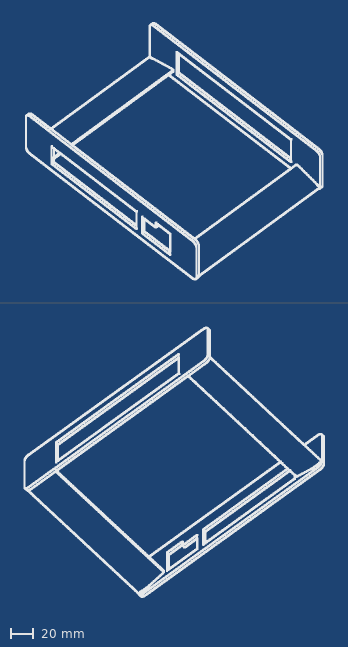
import cadquery as cq

length = 216.0
depth = 156.0
height = 50.0
panel_thickness = 3.0
corner_radius = 5.2

window_bottom = 8.6
window_left = 32.5
window_right = 140.0
window_top = 31.5
port_left = 147.0
port_step = 164.5
port_right = 182.8
port_low_top = 30.0
port_high_top = 36.3

rear_left = 34.1
rear_right = 178.9
rear_bottom = 8.6
rear_top = 38.5

rail_bottom = 4.8
rail_top = 11.2
rail_width = 30.0
lip_width = 3.0
lip_height = 2.0
rail_length = depth - 2 * panel_thickness


def make_panel(y_front):
    """Plain panel with rounded corners, whose outer face towards -Y lies at y_front."""
    return (
        cq.Workplane("XY")
        .box(length, panel_thickness, height, centered=False)
        .edges("|Y")
        .fillet(corner_radius)
        .translate((0, y_front, 0))
    )


def make_cutter(points):
    """Prism along Y, through both panels, with the given XZ outline."""
    return cq.Workplane("XZ").polyline(points).close().extrude(-depth)


def rectangle(left, right, bottom, top):
    """Corner points of an upright rectangle."""
    return [(left, bottom), (right, bottom), (right, top), (left, top)]


def make_front_panel():
    """Front panel with a display window and a stepped port opening."""
    window = make_cutter(rectangle(window_left, window_right, window_bottom, window_top))
    port = make_cutter([
        (port_left, window_bottom),
        (port_right, window_bottom),
        (port_right, port_high_top),
        (port_step, port_high_top),
        (port_step, port_low_top),
        (port_left, port_low_top),
    ])
    return make_panel(0).cut(window).cut(port)


def make_rear_panel():
    """Rear panel with one large rectangular opening."""
    opening = make_cutter(rectangle(rear_left, rear_right, rear_bottom, rear_top))
    return make_panel(depth - panel_thickness).cut(opening)


def make_rail(side):
    """Rail between the panels: side is -1 for the -X end and 1 for the +X end."""
    slope = (rail_top - rail_bottom) / (rail_width - lip_width)
    lip_underside = rail_top - lip_height
    foot_width = rail_width - (lip_underside - rail_bottom) / slope
    profile = [
        (0, rail_bottom),
        (foot_width, rail_bottom),
        (rail_width, lip_underside),
        (rail_width, rail_top),
        (rail_width - lip_width, rail_top),
    ]
    outer_edge = length * (1 + side) / 2
    points = [(outer_edge - side * inward, z) for inward, z in profile]
    return (
        cq.Workplane("XZ")
        .polyline(points)
        .close()
        .extrude(-rail_length)
        .translate((0, panel_thickness, 0))
    )


front_panel = make_front_panel()
rear_panel = make_rear_panel()
rails = [make_rail(side) for side in (-1, 1)]

result = cq.Compound.makeCompound([
    front_panel.val(),
    rear_panel.val(),
    *[rail.val() for rail in rails],
])